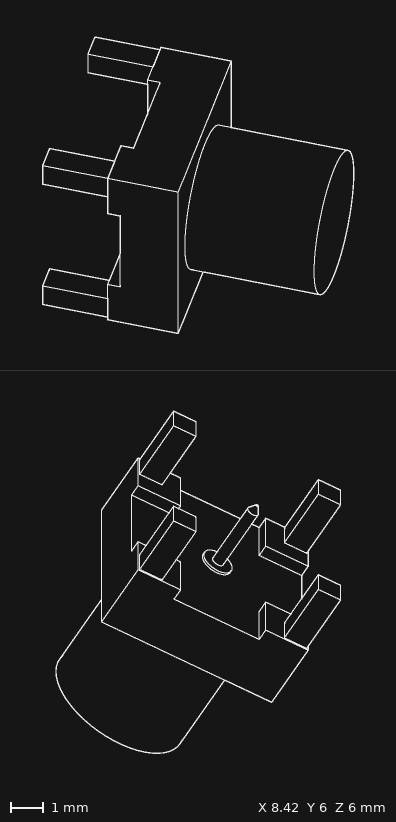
import cadquery as cq

body_width = 6.0
body_depth = 2.24
pad_width = 1.5
pad_height = 0.4

leg_width = 0.79
leg_length = 2.08
leg_pitch = 5.1

barrel_diameter = 4.5
barrel_length = 4.1

pin_diameter = 0.38
pin_tip_diameter = 0.08
pin_taper_length = 0.25
collar_diameter = 1.0
collar_height = 0.08

recess_floor_x = pad_height
leg_end_x = -leg_length


def square_bar(width, x_start, x_end, y=0, z=0):
    """Square bar along X, centred on (y, z)."""
    bar = cq.Workplane("YZ", origin=(x_start, y, z))
    return bar.rect(width, width).extrude(x_end - x_start)


def round_bar(diameter, x_start, x_end):
    """Cylinder on the X axis."""
    bar = cq.Workplane("YZ", origin=(x_start, 0, 0))
    return bar.circle(diameter / 2).extrude(x_end - x_start)


def make_corner(y_side, z_side):
    """Corner pad with its solder leg; the sides are +1 or -1."""
    pad_centre = (body_width - pad_width) / 2
    leg_centre = leg_pitch / 2
    pad = square_bar(pad_width, 0, recess_floor_x, y_side * pad_centre, z_side * pad_centre)
    leg = square_bar(leg_width, leg_end_x, 0, y_side * leg_centre, z_side * leg_centre)
    return pad.union(leg)


def make_pin():
    """Centre pin with a tapered, blunt tip, revolved about the X axis."""
    half_profile = (
        cq.Workplane("XY")
        .moveTo(leg_end_x, 0)
        .lineTo(leg_end_x, pin_tip_diameter / 2)
        .lineTo(leg_end_x + pin_taper_length, pin_diameter / 2)
        .lineTo(recess_floor_x, pin_diameter / 2)
        .lineTo(recess_floor_x, 0)
        .close()
    )
    return half_profile.revolve(360, (0, 0, 0), (1, 0, 0))


result = square_bar(body_width, recess_floor_x, body_depth)
result = result.union(round_bar(barrel_diameter, body_depth, body_depth + barrel_length))
result = result.union(round_bar(collar_diameter, recess_floor_x - collar_height, recess_floor_x))
result = result.union(make_pin())
for y_side in (-1, 1):
    for z_side in (-1, 1):
        result = result.union(make_corner(y_side, z_side))